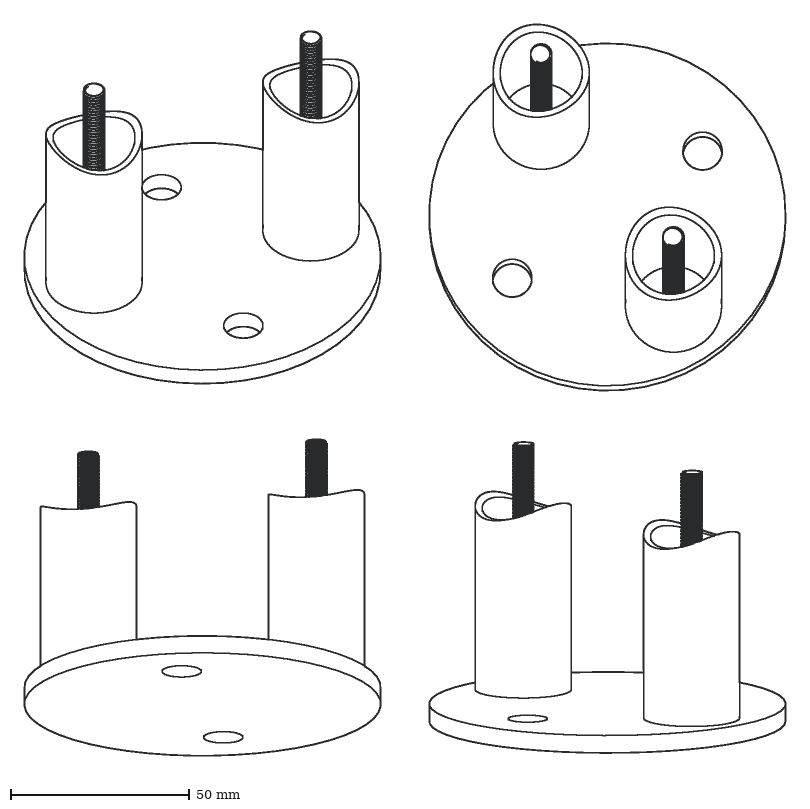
import cadquery as cq
import math

plate_diameter = 100.0
plate_thickness = 5.0
mounting_hole_diameter = 11.0

pitch_radius = 32.5

post_outer_diameter = 27.0
post_inner_diameter = 23.0
saddle_radius = 22.0
saddle_bottom_height = 55.0

stud_top_height = 75.0
stud_length = stud_top_height - plate_thickness
thread_diameter = 6.0
thread_pitch = 1.0
thread_depth = 0.54
crest_width = 0.25
root_width = 0.25
turn_joint_angle = 45.0
spare_turns = 2


def make_post():
    """Tube centred on Z, cut on top by a cylinder that lies along X."""
    saddle_axis_height = saddle_bottom_height + saddle_radius
    tube = (
        cq.Workplane("XY")
        .workplane(offset=plate_thickness)
        .circle(post_outer_diameter / 2)
        .circle(post_inner_diameter / 2)
        .extrude(saddle_axis_height - plate_thickness)
    )
    saddle = (
        cq.Workplane("YZ")
        .center(0, saddle_axis_height)
        .circle(saddle_radius)
        .extrude(post_outer_diameter, both=True)
    )
    return tube.cut(saddle)


def make_base():
    """Plate with two mounting holes on X and two posts on Y, all one piece."""
    base = (
        cq.Workplane("XY")
        .circle(plate_diameter / 2)
        .extrude(plate_thickness)
        .faces(">Z")
        .workplane()
        .pushPoints([(-pitch_radius, 0), (pitch_radius, 0)])
        .hole(mounting_hole_diameter)
    )
    for side in (-1, 1):
        base = base.union(make_post().translate((0, side * pitch_radius, 0)))
    return base


def make_screw(turns):
    """Screw with a whole number of right-hand turns that join above +X.

    Each turn is made of a root, a lower flank, a crest and an upper flank.
    A half-plane through the axis and a one-turn helicoid close each end.
    """
    major_radius = thread_diameter / 2
    minor_radius = major_radius - thread_depth
    flank_width = (thread_pitch - crest_width - root_width) / 2

    crest_start = root_width / 2 + flank_width
    corners = [
        (minor_radius, 0),
        (minor_radius, root_width / 2),
        (major_radius, crest_start),
        (major_radius, crest_start + crest_width),
        (minor_radius, thread_pitch - root_width / 2),
        (minor_radius, thread_pitch),
    ]
    helices = [
        cq.Wire.makeHelix(thread_pitch, thread_pitch, radius).translate((0, 0, height)).Edges()[0]
        for radius, height in corners
    ]
    turn_faces = [
        cq.Face.makeRuledSurface(lower, upper)
        for lower, upper in zip(helices, helices[1:])
    ]

    axis_edge = cq.Edge.makeLine((0, 0, 0), (0, 0, thread_pitch))
    end_helicoid = cq.Face.makeRuledSurface(axis_edge, helices[0])
    half_section = [(0, 0, 0), *[(radius, 0, height) for radius, height in corners], (0, 0, thread_pitch)]
    end_plane = cq.Face.makeFromWires(cq.Wire.makePolygon(half_section, close=True))

    faces = [end_plane, end_helicoid]
    for turn in range(turns):
        faces += [face.translate((0, 0, turn * thread_pitch)) for face in turn_faces]
    screw_length = turns * thread_pitch
    faces.append(end_plane.translate((0, 0, screw_length)))
    faces.append(end_helicoid.translate((0, 0, screw_length)))
    return cq.Workplane(obj=cq.Solid.makeSolid(cq.Shell.makeShell(faces)))


def make_stud():
    """Fully threaded rod on the Z axis with flat ends."""
    turns = math.ceil(stud_length / thread_pitch) + 2 * spare_turns
    start_height = thread_pitch * (turn_joint_angle / 360 - spare_turns)
    screw = (
        make_screw(turns)
        .rotate((0, 0, 0), (0, 0, 1), turn_joint_angle)
        .translate((0, 0, start_height))
    )
    trim = cq.Workplane("XY").circle(thread_diameter).extrude(stud_length)
    return screw.intersect(trim)


base = make_base()
stud = make_stud()
studs = [stud.translate((0, side * pitch_radius, plate_thickness)) for side in (-1, 1)]

result = cq.Compound.makeCompound([base.val(), *[placed_stud.val() for placed_stud in studs]])